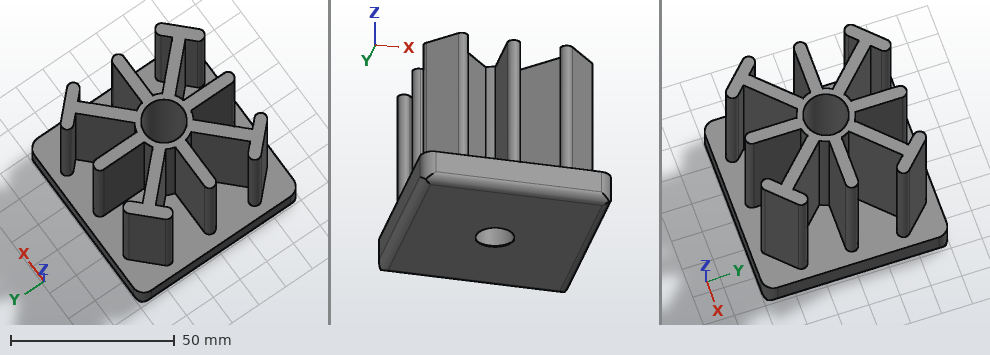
import cadquery as cq

cap_side = 60.0
cap_height = 10.0
corner_radius = 4.0
bottom_round = 3.0

total_height = 55.0
plug_height = total_height - cap_height
rib_thickness = 4.0
straight_rib_span = 52.0
hub_diameter = 18.0

crossbar_distance = 29.05
crossbar_length = 15.35
diagonal_angles = (45, 135, 225, 315)

bore_diameter = 14.0
bore_mouth_diameter = 11.8
bore_cone_height = (bore_diameter - bore_mouth_diameter) / 2


def rounded_slab(plane, round_edges):
    """Square slab along the plane's normal, with its two long bottom edges rounded."""
    return (
        cq.Workplane(plane)
        .center(0, cap_height / 2)
        .rect(cap_side, cap_height)
        .extrude(cap_side / 2, both=True)
        .faces("<Z")
        .edges(round_edges)
        .fillet(bottom_round)
    )


def make_cap():
    """Rounded-corner square whose bottom rounds run straight and meet in miters."""
    outline = (
        cq.Workplane("XY")
        .rect(cap_side, cap_side)
        .extrude(cap_height)
        .edges("|Z")
        .fillet(corner_radius)
    )
    return outline.intersect(rounded_slab("XZ", "|Y")).intersect(rounded_slab("YZ", "|X"))


def plug_base():
    """Workplane on the top face of the cap."""
    return cq.Workplane("XY").workplane(offset=cap_height)


def make_straight_rib(angle):
    """Round-ended rib running across the full plug."""
    return plug_base().slot2D(straight_rib_span, rib_thickness, angle).extrude(plug_height)


def make_diagonal_rib(angle):
    """Rib from the hub axis to a round-ended crossbar, forming a T."""
    web = (
        plug_base()
        .center(crossbar_distance / 2, 0)
        .rect(crossbar_distance, rib_thickness)
        .extrude(plug_height)
    )
    crossbar = (
        plug_base()
        .center(crossbar_distance, 0)
        .slot2D(crossbar_length, rib_thickness, 90)
        .extrude(plug_height)
    )
    return web.union(crossbar).rotate((0, 0, 0), (0, 0, 1), angle)


def make_bore():
    """Through bore that narrows in a cone at the cap's underside."""
    cone = (
        cq.Workplane("XY")
        .circle(bore_mouth_diameter / 2)
        .workplane(offset=bore_cone_height)
        .circle(bore_diameter / 2)
        .loft(ruled=True)
    )
    barrel = (
        cq.Workplane("XY")
        .workplane(offset=bore_cone_height)
        .circle(bore_diameter / 2)
        .extrude(total_height - bore_cone_height)
    )
    return barrel.union(cone)


result = make_cap().union(plug_base().circle(hub_diameter / 2).extrude(plug_height))
for rib_angle in (0, 90):
    result = result.union(make_straight_rib(rib_angle))
for rib_angle in diagonal_angles:
    result = result.union(make_diagonal_rib(rib_angle))
result = result.cut(make_bore())